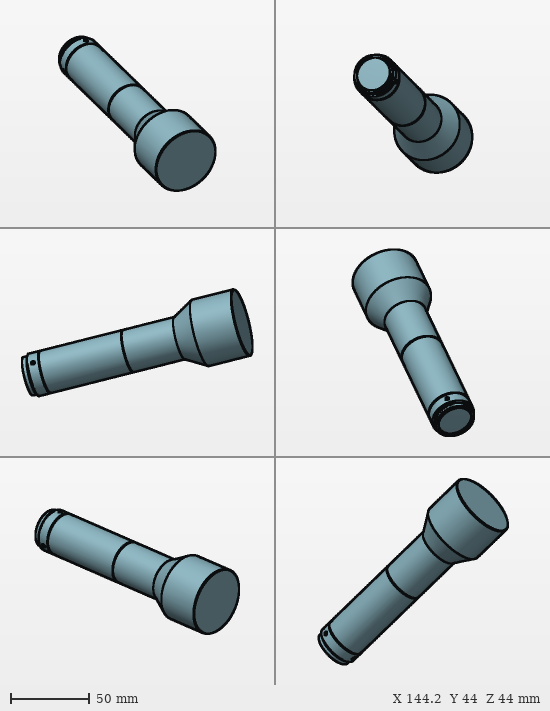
import cadquery as cq
import math

length = 144.2
nose_end = 3.0
collar_start = 3.9
collar_end = 11.4
barrel_end = 67.2
cone_start = 102.2
head_start = 116.2

nose_radius = 25.5 / 2
neck_radius = 24.0 / 2
body_radius = 28.1 / 2
head_radius = 44.0 / 2

groove_width = 0.5
groove_depth = 0.22
head_chamfer = 0.5
lens_radius = 22.0 / 2
lens_depth = 0.7
lens_rise = 0.5

screw_count = 3
screw_diameter = 2.3
screw_depth = 2.2
screw_x = (collar_start + collar_end) / 2
first_screw_angle = 78.3


def make_body():
    """Revolve the stepped outline, with a domed lens recessed in the nose, about the X axis."""
    lens_apex = lens_depth - lens_rise
    lens_curvature = (lens_radius**2 + lens_rise**2) / (2 * lens_rise)
    outline = (
        cq.Workplane("XY")
        .moveTo(lens_depth, lens_radius)
        .lineTo(0, lens_radius)
        .lineTo(0, nose_radius)
        .lineTo(nose_end, nose_radius)
        .lineTo(nose_end, neck_radius)
        .lineTo(collar_start, neck_radius)
        .lineTo(collar_start, body_radius)
        .lineTo(cone_start, body_radius)
        .lineTo(head_start, head_radius)
        .lineTo(length - head_chamfer, head_radius)
        .lineTo(length, head_radius - head_chamfer)
        .lineTo(length, 0)
        .lineTo(lens_apex, 0)
        .radiusArc((lens_depth, lens_radius), lens_curvature)
        .close()
    )
    return outline.revolve(360, (0, 0, 0), (1, 0, 0))


def make_joint_groove(start):
    """Shallow ring that marks the joint between two tube sections."""
    return (
        cq.Workplane("YZ", origin=(start, 0, 0))
        .circle(body_radius + groove_depth)
        .circle(body_radius - groove_depth)
        .extrude(groove_width)
    )


def make_screw_hole(angle):
    """Blind radial hole in the collar."""
    radians = math.radians(angle)
    outward = cq.Vector(0, math.cos(radians), math.sin(radians))
    start = cq.Vector(screw_x, 0, 0) + outward * (body_radius - screw_depth)
    return cq.Workplane(cq.Solid.makeCylinder(screw_diameter / 2, 2 * screw_depth, start, outward))


result = make_body()
for joint in (collar_end, barrel_end):
    result = result.cut(make_joint_groove(joint))
for index in range(screw_count):
    result = result.cut(make_screw_hole(first_screw_angle + index * 360 / screw_count))